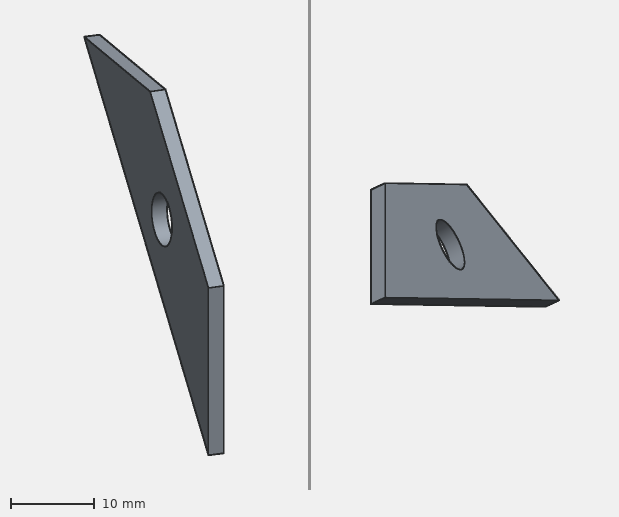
import cadquery as cq

leg = 40.0
thickness = 2.0
edge_length = 21.25
hole_diameter = 6.5
hole_inset = 15.0

outline = [
    (0, leg),
    (edge_length, leg),
    (leg, edge_length),
    (leg, 0),
]
hole_position = leg - hole_inset

plate = cq.Workplane("XZ").polyline(outline).close().extrude(thickness)

hole = (
    cq.Workplane("XZ")
    .center(hole_position, hole_position)
    .circle(hole_diameter / 2)
    .extrude(thickness)
)

result = plate.cut(hole)